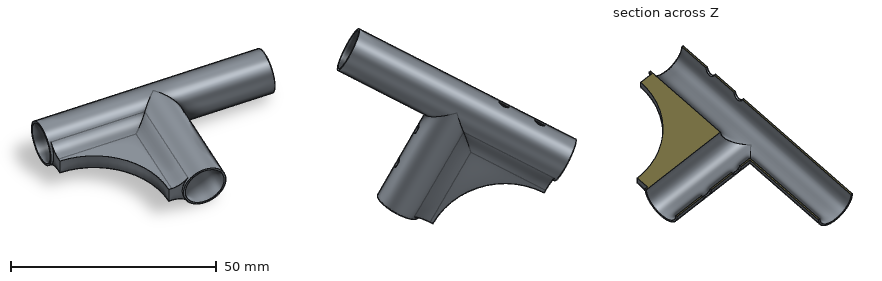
import cadquery as cq
import math

main_length = 60.0
branch_reach = 30.0
outer_radius = 11.4 / 2
bore_radius = 10.4 / 2

gusset_thickness = 4.0
gusset_fillet = 6.0
gusset_setback = 0.7
gusset_arc_radius = 20.0
gusset_end = branch_reach - gusset_setback

pin_diameter = 2.8
pin_positions = (10.0, 20.0)


def gusset_fillet_profile(workplane):
    """Half section of a tube's fillet to the gusset, out from the tube axis and above mid-plane."""
    half_thickness = gusset_thickness / 2
    center_height = half_thickness + gusset_fillet
    center_distance = outer_radius + gusset_fillet
    center_out = math.sqrt(center_distance**2 - center_height**2)
    tube_share = outer_radius / center_distance
    tangent_point = (center_out * tube_share, center_height * tube_share)
    middle_angle = (math.atan2(-center_height, -center_out) - math.pi / 2) / 2
    middle_point = (
        center_out + gusset_fillet * math.cos(middle_angle),
        center_height + gusset_fillet * math.sin(middle_angle),
    )
    return (
        workplane.moveTo(0, 0)
        .lineTo(*tangent_point)
        .threePointArc(middle_point, (center_out, half_thickness))
        .lineTo(center_out, 0)
        .close()
    )


def make_gusset():
    """Flat web with a concave edge, filleted to the main tube and the branch."""
    arc_offset = gusset_arc_radius * math.sqrt(0.5)
    arc_start = gusset_end - gusset_arc_radius
    web = (
        cq.Workplane("XY")
        .lineTo(gusset_end, 0)
        .lineTo(gusset_end, -arc_start)
        .threePointArc(
            (gusset_end - arc_offset, arc_offset - gusset_end),
            (arc_start, -gusset_end),
        )
        .lineTo(0, -gusset_end)
        .close()
        .extrude(gusset_thickness / 2, both=True)
    )
    main_fillet = gusset_fillet_profile(cq.Workplane("XZ")).extrude(gusset_end)
    branch_fillet = main_fillet.rotate((0, 0, 0), (1, -1, 0), 180)
    for fillet in (main_fillet, branch_fillet):
        web = web.union(fillet).union(fillet.mirror("XY"))
    return web


def tube_rods(radius):
    """Solid T of two round rods sharing the tube axes."""
    main = cq.Workplane("XZ").circle(radius).extrude(main_length / 2, both=True)
    branch = cq.Workplane("YZ").circle(radius).extrude(branch_reach)
    return main.union(branch)


def pin_holes():
    """Cutters from each tube axis outward through one wall."""
    main_points = [(-position, 0) for position in pin_positions]
    main_cut = (
        cq.Workplane("YZ").pushPoints(main_points).circle(pin_diameter / 2).extrude(-outer_radius)
    )
    branch_points = [(position, 0) for position in pin_positions]
    branch_cut = (
        cq.Workplane("XZ").pushPoints(branch_points).circle(pin_diameter / 2).extrude(-outer_radius)
    )
    return main_cut.union(branch_cut)


result = (
    tube_rods(outer_radius)
    .union(make_gusset())
    .cut(tube_rods(bore_radius))
    .cut(pin_holes())
)